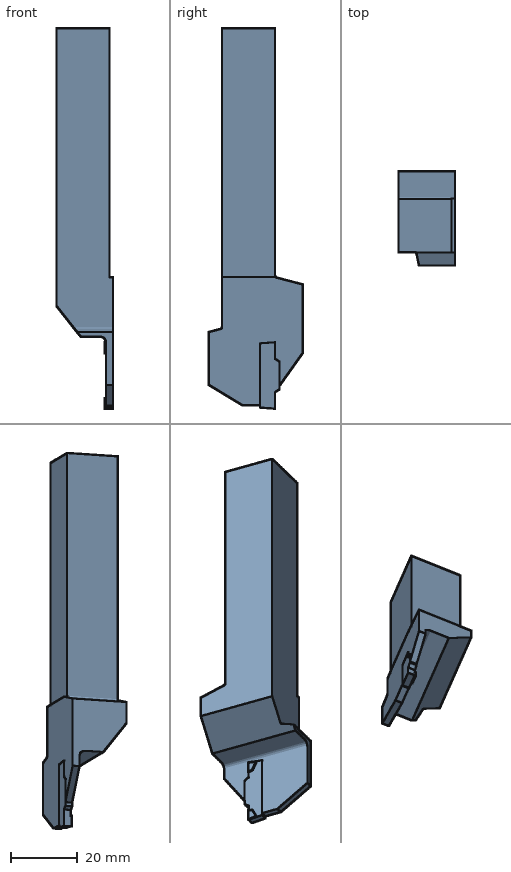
import cadquery as cq

total_height = 114.3
head_width = 17.0
head_depth = 28.3
shank_size = 16.0
shank_front = 4.0
shank_back = shank_front + shank_size

shoulder_top = 39.5
shoulder_edge = 37.4
lip_top = 24.1
lip_edge = 23.1
corner_radius = 0.6
chamfer_top = 30.9
chamfer_width = 7.3
head_bottom = 21.6

blade_thickness = 2.2
blade_face = head_width - blade_thickness
blade_fillet = 1.7
blade_bottom = 1.0
blade_front_low = 7.2
blade_flat_start = 10.2
blade_back_low = 16.8
blade_back_end = 7.0

insert_height = 20.0
insert_middle = insert_height / 2
insert_front = 15.4
insert_back = shank_back
insert_relief = 0.3
key_depth = 1.4
key_half_height = 4.1
key_half_root = 5.0
tip_rise = 0.3
tip_length = 3.3
tip_shoulder = 1.4
tip_shoulder_height = 3.0
tip_width = 2.7


def extrude_along_x(points, start, length):
    """Prism along +X from an outline of (Y, Z) points."""
    return cq.Workplane("YZ", origin=(start, 0, 0)).polyline(points).close().extrude(length)


def make_side_shape():
    """Outline of shank, head and blade in Y and Z, through the full width."""
    key_back = insert_back + key_depth
    shape = extrude_along_x(
        [
            (shank_front, total_height),
            (shank_back, total_height),
            (shank_back, shoulder_top),
            (head_depth, shoulder_edge),
            (head_depth, blade_back_low),
            (key_back, blade_back_end),
            (insert_front, blade_bottom),
            (blade_flat_start, blade_bottom),
            (0, blade_front_low),
            (0, lip_edge),
            (shank_front, lip_top),
        ],
        0,
        head_width,
    )
    shoulder_corner = cq.selectors.NearestToPointSelector((head_width / 2, shank_back, shoulder_top))
    lip_corner = cq.selectors.NearestToPointSelector((head_width / 2, shank_front, lip_top))
    return shape.edges(shoulder_corner).fillet(corner_radius).edges(lip_corner).fillet(corner_radius)


def make_front_shape():
    """Outline of shank, head and blade in X and Z, through the full depth."""
    shape = (
        cq.Workplane("XZ")
        .moveTo(0, total_height)
        .lineTo(shank_size, total_height)
        .lineTo(shank_size, shoulder_top)
        .lineTo(head_width, shoulder_top)
        .lineTo(head_width, 0)
        .lineTo(blade_face, 0)
        .lineTo(blade_face, head_bottom - blade_fillet)
        .radiusArc((blade_face - blade_fillet, head_bottom), -blade_fillet)
        .lineTo(chamfer_width, head_bottom)
        .lineTo(0, chamfer_top)
        .close()
        .extrude(-head_depth)
    )
    return shape


def make_tip(end, direction):
    """Raised cutting tip at the end height, reaching inward along the Z direction."""
    return extrude_along_x(
        [
            (insert_back, end),
            (insert_back, end + direction * tip_length),
            (insert_back - tip_shoulder, end + direction * tip_shoulder_height),
            (insert_back - tip_width, end + direction * insert_relief),
        ],
        blade_face - tip_rise,
        blade_thickness + tip_rise,
    )


def make_insert():
    """Insert plate with a locating key and a raised tip at each end."""
    key_back = insert_back + key_depth
    plate = extrude_along_x(
        [
            (insert_front, insert_relief),
            (insert_back, 0),
            (insert_back, insert_middle - key_half_root),
            (key_back, insert_middle - key_half_height),
            (key_back, insert_middle + key_half_height),
            (insert_back, insert_middle + key_half_root),
            (insert_back, insert_height),
            (insert_front, insert_height - insert_relief),
        ],
        blade_face,
        blade_thickness,
    )
    for end, direction in [(0, 1), (insert_height, -1)]:
        plate = plate.union(make_tip(end, direction))
    return plate


insert = make_insert()
holder = make_side_shape().intersect(make_front_shape()).cut(insert)

result = cq.Compound.makeCompound([holder.val(), insert.val()])